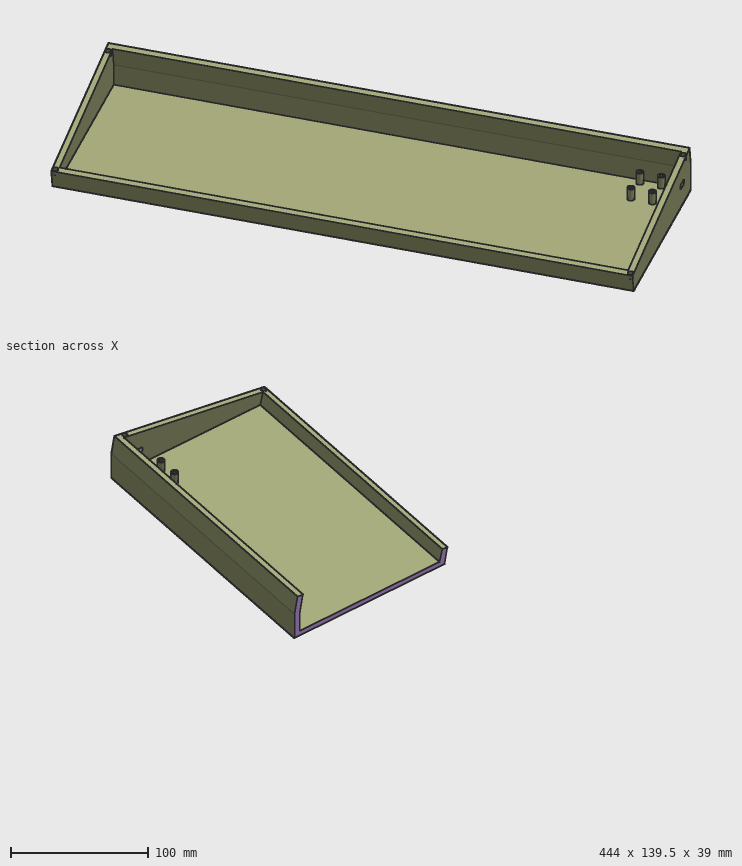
import cadquery as cq
import math

length = 444.0
depth = 139.5
height = 39.0
tilt = math.radians(10)
wall = 5.0
floor = 5.0

front_height = 15.0
back_bend_height = 23.5
front_lean = front_height * math.tan(tilt)
back_lean = (height - back_bend_height) * math.tan(tilt)
rim_back = depth - back_lean
rim_slope = (height - front_height) / rim_back

inner_front = wall / math.cos(tilt)
inner_back = depth - 8.0
inner_bend_height = 22.5
inner_front_foot = 7.5
inner_back_foot = inner_back + 2.5

standoff_diameter = 5.5
standoff_bore = 2.55
standoff_height = 9.8
standoff_x = (408.0, 424.5)
standoff_y = (108.7, 130.0)

cable_slot_length = 9.5
cable_slot_width = 4.0
cable_slot_y = 119.0
cable_slot_z = 18.0

screw_diameter = 4.0
screw_depth = 4.5
screw_lead = 4.5
screw_inset = wall / 2
screw_y = (2.5, 128.5)


def rim_height(y):
    return front_height + rim_slope * y


def make_shell():
    outer = (
        cq.Workplane("YZ")
        .polyline([
            (front_lean, 0),
            (depth, 0),
            (depth, back_bend_height),
            (rim_back, height),
            (0, front_height),
        ])
        .close()
        .extrude(length)
    )
    hollow = (
        cq.Workplane("YZ", origin=(wall, 0, 0))
        .polyline([
            (inner_front_foot, floor),
            (inner_back_foot, floor),
            (inner_back_foot, inner_bend_height),
            (inner_back, rim_height(inner_back)),
            (inner_back, height),
            (inner_front, height),
            (inner_front, rim_height(inner_front)),
        ])
        .close()
        .extrude(length - 2 * wall)
    )
    return outer.cut(hollow)


def add_standoffs(body):
    centers = [(x, y) for x in standoff_x for y in standoff_y]
    posts = (
        cq.Workplane("XY", origin=(0, 0, floor))
        .pushPoints(centers)
        .circle(standoff_diameter / 2)
        .circle(standoff_bore / 2)
        .extrude(standoff_height)
    )
    return body.union(posts)


def cut_cable_slot(body):
    slot = (
        cq.Workplane("YZ", origin=(length - wall, 0, 0))
        .center(cable_slot_y, cable_slot_z)
        .slot2D(cable_slot_length, cable_slot_width)
        .extrude(wall)
    )
    return body.cut(slot)


def cut_screw_holes(body):
    into_rim = cq.Vector(0, math.sin(tilt), -math.cos(tilt))
    for x in (screw_inset, length - screw_inset):
        for y in screw_y:
            start = cq.Vector(x, y, rim_height(y)) - into_rim * screw_lead
            body = body.cut(cq.Workplane(
                cq.Solid.makeCylinder(screw_diameter / 2, screw_depth + screw_lead, start, into_rim)))
    return body


result = cut_screw_holes(cut_cable_slot(add_standoffs(make_shell())))